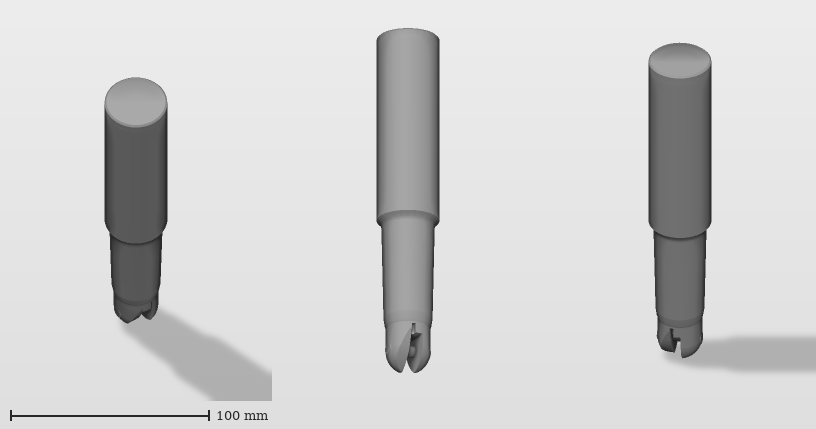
import cadquery as cq
import math

total_height = 179.7
shank_diameter = 31.8
shank_radius = shank_diameter / 2
lead_in_radius = 15.8
shank_top_radius = 15.0
top_chamfer = lead_in_radius - shank_top_radius
lead_in_length = 5.2
shank_bottom_z = 81.6

shoulder_chamfer = 1.3
neck_top_z = 77.8
neck_top_radius = 13.5

neck_bottom_z = 29.0
neck_bottom_radius = 12.4
nose_top_z = 23.5
nose_radius = 11.3

slot_width = 5.8
slot_top_z = 17.6
half_slot = slot_width / 2
ball_center_z = math.sqrt(nose_radius**2 - half_slot**2)
ball_bottom_z = ball_center_z - nose_radius

relief_top_z = 22.6
relief_width = 1.0
relief_mouth_width = 2.0
relief_mouth_depth = 2.2
relief_taper_length = 0.5

chip_top_x = 11.7
chip_top_z = 23.4
chip_bend_x = 9.0
chip_bend_z = 13.5
chip_tip_x = -0.7

pin_diameter = 6.1
pin_z = 11.3
pin_length = 2 * nose_radius

clearance = 1.8


def make_blank():
    """Revolve the round holder, from ball nose to shank."""
    chamfer_radius = shank_radius - shoulder_chamfer
    ball_mid = nose_radius * math.sqrt(0.5)
    neck_direction = (neck_bottom_radius - neck_top_radius, neck_bottom_z - neck_top_z)
    return (
        cq.Workplane("XZ")
        .moveTo(0, ball_bottom_z)
        .lineTo(0, total_height)
        .lineTo(shank_top_radius, total_height)
        .lineTo(lead_in_radius, total_height - top_chamfer)
        .lineTo(shank_radius, total_height - lead_in_length)
        .lineTo(shank_radius, shank_bottom_z)
        .lineTo(chamfer_radius, shank_bottom_z - shoulder_chamfer)
        .spline([(neck_top_radius, neck_top_z)], tangents=[(-1, -1), neck_direction], includeCurrent=True)
        .lineTo(neck_bottom_radius, neck_bottom_z)
        .tangentArcPoint((nose_radius, nose_top_z), relative=False)
        .lineTo(nose_radius, ball_center_z)
        .threePointArc((ball_mid, ball_center_z - ball_mid), (0, ball_bottom_z))
        .close()
        .revolve(360, (0, 0, 0), (0, 1, 0))
    )


def make_insert_slot():
    """Make the slot and the tapering relief above it."""
    reach = nose_radius + clearance
    slot_floor_z = ball_bottom_z - clearance
    mouth_end_x = -nose_radius + relief_mouth_depth
    wall_y = half_slot - relief_width
    mouth_y = half_slot - relief_mouth_width
    slot = (
        cq.Workplane("XY", origin=(0, 0, slot_floor_z))
        .rect(2 * reach, slot_width)
        .extrude(slot_top_z - slot_floor_z)
    )
    relief = (
        cq.Workplane("XY", origin=(0, 0, slot_top_z))
        .moveTo(-reach, half_slot)
        .lineTo(-reach, mouth_y)
        .lineTo(mouth_end_x, mouth_y)
        .lineTo(mouth_end_x + relief_taper_length, wall_y)
        .lineTo(reach, wall_y)
        .lineTo(reach, half_slot)
        .close()
        .extrude(relief_top_z - slot_top_z)
    )
    return slot.union(relief)


def make_chip_clearance():
    """Make the cutter that clears the +X side of the -Y prong."""
    outer_x = nose_radius + clearance
    floor_z = ball_bottom_z - clearance
    return (
        cq.Workplane("XZ", origin=(0, -half_slot, 0))
        .moveTo(chip_top_x, chip_top_z)
        .lineTo(chip_bend_x, chip_bend_z)
        .tangentArcPoint((chip_tip_x, 0), relative=False)
        .lineTo(chip_tip_x, floor_z)
        .lineTo(outer_x, floor_z)
        .lineTo(outer_x, chip_top_z)
        .close()
        .extrude(nose_radius)
    )


def make_pin():
    """Make the pin along Y, flush with the nose."""
    return (
        cq.Workplane("XZ", origin=(0, pin_length / 2, pin_z))
        .circle(pin_diameter / 2)
        .extrude(pin_length)
    )


pin = make_pin()

holder = make_blank().cut(make_insert_slot())
for angle in (0, 180):
    holder = holder.cut(make_chip_clearance().rotate((0, 0, 0), (0, 0, 1), angle))
holder = holder.cut(pin)

result = cq.Compound.makeCompound([holder.val(), pin.val()])